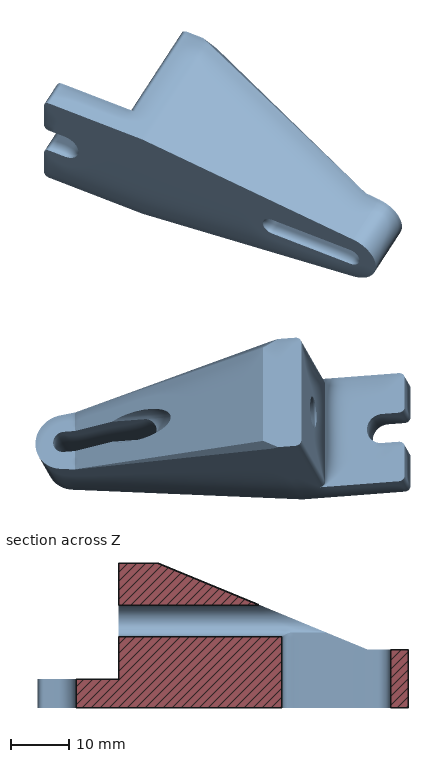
import cadquery as cq
import math

length = 64.0
depth = 25.0
height = 20.0
half_height = height / 2

tip_radius = 5.0
tip_center_x = length - tip_radius
taper_start_x = 19.0
taper_blend_radius = 6.4
edge_radius = 1.0

plate_thickness = 5.0
wall_x = 14.0

tip_depth = 10.05
slope_start_x = 20.7
slope_end_x = 57.0
bevel_start_x = 18.1
ridge_start_z = 8.65
ridge_end_z = 5.25

bolt_radius = 2.7
notch_center_x = 3.95
hole_y = 15.0
slot_start_x = 44.0
slot_radius = 1.85

selection_margin = 0.65


def tip_tangent_point():
    """Point where the straight taper meets the round tip."""
    run = tip_center_x - taper_start_x
    distance = math.hypot(run, half_height)
    taper_angle = math.atan2(half_height, run) - math.asin(tip_radius / distance)
    x = tip_center_x + tip_radius * math.sin(taper_angle)
    z = tip_radius * math.cos(taper_angle)
    return x, z


def extrude_back(sketch, distance):
    """Extrude a closed XZ sketch from the front face towards +Y."""
    return sketch.extrude(-distance)


def tapered_body():
    tangent_x, tangent_z = tip_tangent_point()
    sketch = (
        cq.Workplane("XZ")
        .moveTo(0, -half_height)
        .lineTo(taper_start_x, -half_height)
        .lineTo(tangent_x, -tangent_z)
        .threePointArc((length, 0), (tangent_x, tangent_z))
        .lineTo(taper_start_x, half_height)
        .lineTo(0, half_height)
        .close()
    )
    body = extrude_back(sketch, depth)
    taper_corners = cq.selectors.BoxSelector(
        (taper_start_x - selection_margin, 0, -height), (taper_start_x + selection_margin, depth, height)
    )
    body = body.edges("|Y").edges(taper_corners).fillet(taper_blend_radius)
    return body


def side_profile():
    """Plate, wall and sloped back as seen along Z."""
    return (
        cq.Workplane("XY", origin=(0, 0, -half_height))
        .moveTo(0, 0)
        .lineTo(length, 0)
        .lineTo(length, tip_depth)
        .lineTo(slope_end_x, tip_depth)
        .lineTo(slope_start_x, depth)
        .lineTo(wall_x, depth)
        .lineTo(wall_x, plate_thickness)
        .lineTo(0, plate_thickness)
        .close()
        .extrude(height)
    )


def bevel_cutter(side):
    """Solid behind the bevel plane and the tip face; side is +1 for the top, -1 for the bottom."""
    outer = cq.Vector(bevel_start_x, depth, side * half_height)
    ridge_start = cq.Vector(slope_start_x, depth, side * ridge_start_z)
    ridge_end = cq.Vector(slope_end_x, tip_depth, side * ridge_end_z)
    along_ridge = ridge_end - ridge_start
    outward = (outer - ridge_start).cross(along_ridge) * side
    plane = cq.Plane(origin=ridge_start, xDir=along_ridge, normal=outward)
    half_space = cq.Workplane(plane).rect(4 * length, 4 * length).extrude(length)
    above_tip = cq.Workplane("XY", origin=(0, tip_depth, 0)).box(
        length, depth, height, centered=(False, False, True)
    )
    return half_space.intersect(above_tip)


def mouth_notch():
    circle = cq.Workplane("XZ").center(notch_center_x, 0).circle(bolt_radius)
    notch = extrude_back(circle, plate_thickness)
    channel = cq.Workplane("XY").box(
        notch_center_x, plate_thickness, 2 * bolt_radius, centered=(False, False, True)
    )
    return notch.union(channel)


def adjustment_slot():
    spacing = tip_center_x - slot_start_x
    sketch = (
        cq.Workplane("XZ")
        .center((slot_start_x + tip_center_x) / 2, 0)
        .slot2D(spacing + 2 * slot_radius, 2 * slot_radius)
    )
    return extrude_back(sketch, depth)


def wall_hole():
    return (
        cq.Workplane("YZ", origin=(wall_x, hole_y, 0))
        .circle(bolt_radius)
        .extrude(length)
    )


result = tapered_body().intersect(side_profile())
result = result.cut(mouth_notch())

result = result.edges("|Y").edges("<X").fillet(edge_radius)
wall_edges = cq.selectors.BoxSelector(
    (wall_x - selection_margin, plate_thickness, -height), (wall_x + selection_margin, depth, height)
)
result = result.edges("|Y").edges(wall_edges).fillet(edge_radius)

for side in (1, -1):
    result = result.cut(bevel_cutter(side))
result = result.cut(adjustment_slot()).cut(wall_hole())